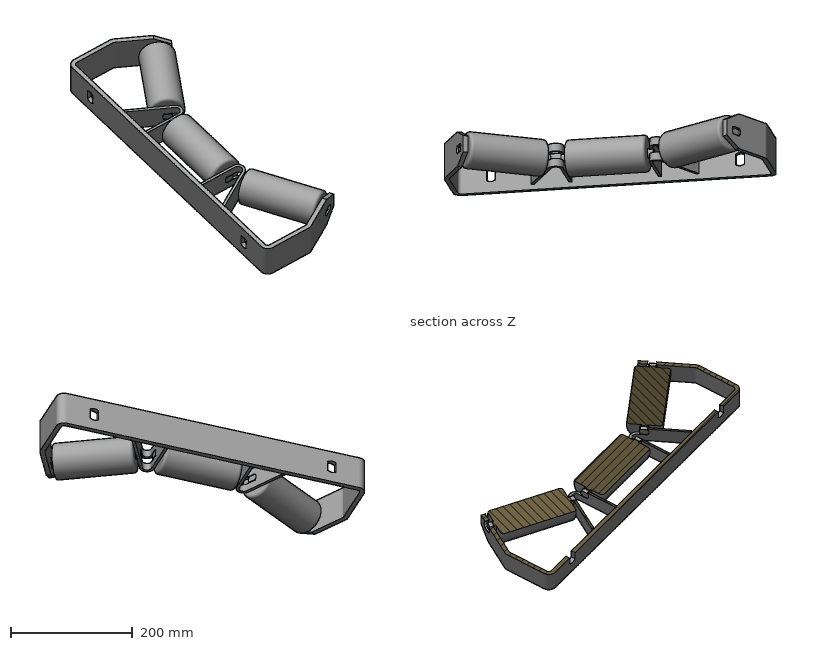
import cadquery as cq
import math

frame_length = 540
frame_depth = 176.5
band_height = 60.0
band_thickness = 8.0
band_bend_radius = 13.5
arm_bend_y = 87.5
lean_angle = 30
tip_width = 28.0
tip_taper_length = 30.0

mount_slot_spacing = 417.0
mount_slot_length = 22.5
mount_slot_width = 14.5

roller_diameter = 61.0
roller_length = 135
roller_edge_radius = 5.0
roller_drop = 1.35
center_axis_y = 70
axle_diameter = 16
axle_flat_width = 11
end_gap = 5.0
flat_shoulder_gap = 2.5

bracket_thickness = 5.0
bracket_height = 40.0
arch_radius = 12.5
arch_rise = 12.0

arm_slot_length = 20.5
axle_slot_width = 13.0

lean = math.radians(lean_angle)
lean_up = (math.sin(lean), math.cos(lean))
lean_out = (-math.cos(lean), math.sin(lean))
outward_angle = 180 - lean_angle
axle_half_length = roller_length / 2 + end_gap + bracket_thickness
arch_center = (-roller_length / 2 - end_gap - arch_radius, center_axis_y + arch_rise)


def polar(center, radius, degrees):
    angle = math.radians(degrees)
    return (center[0] + radius * math.cos(angle), center[1] + radius * math.sin(angle))


def move(point, direction, distance):
    return (point[0] + direction[0] * distance, point[1] + direction[1] * distance)


def reach(point):
    """Distance of a point from the origin along lean_out."""
    return point[0] * lean_out[0] + point[1] * lean_out[1]


arm_bend_center = (-frame_length / 2 + band_bend_radius, arm_bend_y)
arm_start = polar(arm_bend_center, band_bend_radius, outward_angle)
arm_length = (frame_depth - arm_start[1]) / lean_up[1]
arm_tip = move(arm_start, lean_up, arm_length)

arm_inner_reach = reach(arm_start) - band_thickness
leg_outer_reach = reach(arch_center) + arch_radius
arch_to_roller = (arm_inner_reach + leg_outer_reach) / 2 - reach(arch_center)
side_center = move(move(arch_center, lean_up, -arch_rise), lean_out, arch_to_roller)


def flat_sided_prism(plane, length, width, end_radius, depth):
    """Prism with straight sides and arc ends, long along the plane's local X, centred on the plane."""
    corner_x = length / 2 - end_radius + math.sqrt(end_radius**2 - (width / 2) ** 2)
    return (
        cq.Workplane(plane)
        .workplane(offset=-depth / 2)
        .moveTo(-corner_x, -width / 2)
        .lineTo(corner_x, -width / 2)
        .threePointArc((length / 2, 0), (corner_x, width / 2))
        .lineTo(-corner_x, width / 2)
        .threePointArc((-length / 2, 0), (-corner_x, -width / 2))
        .close()
        .extrude(depth)
    )


def axle_plane(center, up, out):
    """Plane across a roller axis, with local X running up the legs that carry the axle."""
    origin = (center[0], center[1], -roller_drop)
    return cq.Plane(origin=origin, xDir=(up[0], up[1], 0), normal=(out[0], out[1], 0))


center_plane = axle_plane((0, center_axis_y), (0, 1), (-1, 0))
side_plane = axle_plane(side_center, lean_up, lean_out)


def axle_slots(plane, slot_length):
    """Cutter for the two slots that hold one axle, each seating it at the end nearest the base."""
    shift = (slot_length - axle_diameter) / 2
    slot_plane = cq.Plane(origin=plane.toWorldCoords((shift, 0, 0)), xDir=plane.xDir, normal=plane.zDir)
    span = roller_length + 2 * (end_gap + 2 * band_thickness)
    return flat_sided_prism(slot_plane, slot_length, axle_slot_width, axle_diameter / 2, span)


def make_roller(plane):
    def cylinder(diameter, length):
        return cq.Workplane(plane).workplane(offset=-length / 2).circle(diameter / 2).extrude(length)

    body = cylinder(roller_diameter, roller_length).edges("%CIRCLE").fillet(roller_edge_radius)
    shank = cylinder(axle_diameter, roller_length + 2 * flat_shoulder_gap)
    flats = flat_sided_prism(plane, axle_diameter, axle_flat_width, axle_diameter / 2, 2 * axle_half_length)
    return body.union(shank).union(flats)


def extrude_strip(outline, height, mid_height):
    return outline.close().extrude(height).translate((0, 0, mid_height - height / 2))


def make_half_frame():
    left = -frame_length / 2
    inner_radius = band_bend_radius - band_thickness
    corner = (left + band_bend_radius, band_bend_radius)
    outline = (
        cq.Workplane("XY")
        .moveTo(0, 0)
        .lineTo(corner[0], 0)
        .threePointArc(polar(corner, band_bend_radius, 225), (left, corner[1]))
        .lineTo(left, arm_bend_y)
        .threePointArc(polar(arm_bend_center, band_bend_radius, 180 - lean_angle / 2), arm_start)
        .lineTo(*arm_tip)
        .lineTo(*move(arm_tip, lean_out, -band_thickness))
        .lineTo(*polar(arm_bend_center, inner_radius, outward_angle))
        .threePointArc(
            polar(arm_bend_center, inner_radius, 180 - lean_angle / 2),
            (left + band_thickness, arm_bend_y),
        )
        .lineTo(left + band_thickness, corner[1])
        .threePointArc(polar(corner, inner_radius, 225), (corner[0], band_thickness))
        .lineTo(0, band_thickness)
    )
    half = extrude_strip(outline, band_height, 0)
    half = half.cut(tip_tapers()).cut(axle_slots(side_plane, arm_slot_length))
    mount_plane = cq.Plane(origin=(-mount_slot_spacing / 2, 0, 0), xDir=(0, 0, 1), normal=(0, -1, 0))
    return half.cut(
        flat_sided_prism(
            mount_plane, mount_slot_length, mount_slot_width, mount_slot_length / 2, 3 * band_thickness
        )
    )


def tip_tapers():
    """Cutter for the two corners that narrow the tip of the left arm."""
    tip_plane = cq.Plane(
        origin=(arm_tip[0], arm_tip[1], 0), xDir=(*lean_up, 0), normal=(*lean_out, 0)
    )
    corner = (
        cq.Workplane(tip_plane)
        .polyline([(0, tip_width / 2), (0, band_height / 2), (-tip_taper_length, band_height / 2)])
        .close()
        .extrude(2 * band_thickness, both=True)
    )
    return corner.union(corner.mirror("XY"))


def make_bracket():
    inner_radius = arch_radius - bracket_thickness
    crown_angle = outward_angle / 2
    leg_x = arch_center[0] + arch_radius
    leg_top_outer = polar(arch_center, arch_radius, outward_angle)
    leg_top_inner = polar(arch_center, inner_radius, outward_angle)
    leg_length = (leg_top_inner[1] - band_thickness) / lean_up[1]
    outline = (
        cq.Workplane("XY")
        .moveTo(leg_x, band_thickness)
        .lineTo(leg_x, arch_center[1])
        .threePointArc(polar(arch_center, arch_radius, crown_angle), leg_top_outer)
        .lineTo(*move(leg_top_outer, lean_up, -leg_length))
        .lineTo(*move(leg_top_inner, lean_up, -leg_length))
        .lineTo(*leg_top_inner)
        .threePointArc(
            polar(arch_center, inner_radius, crown_angle),
            (arch_center[0] + inner_radius, arch_center[1]),
        )
        .lineTo(leg_x - bracket_thickness, band_thickness)
    )
    bracket = extrude_strip(outline, bracket_height, -roller_drop)
    slot_length = axle_diameter + arch_rise + arch_radius
    return bracket.cut(axle_slots(center_plane, slot_length)).cut(axle_slots(side_plane, slot_length))


half_frame = make_half_frame()
frame = half_frame.union(half_frame.mirror("YZ"))

left_bracket = make_bracket()
brackets = [left_bracket, left_bracket.mirror("YZ")]

left_roller = make_roller(side_plane)
rollers = [left_roller, make_roller(center_plane), left_roller.mirror("YZ")]

result = cq.Compound.makeCompound([body.val() for body in [frame, *brackets, *rollers]])